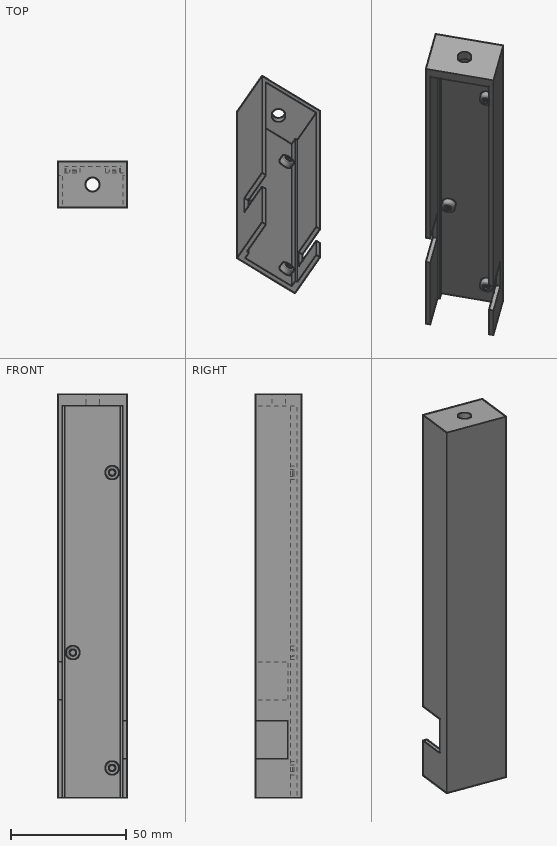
import cadquery as cq

WIDTH = 30.0
DEPTH = 20.0
HEIGHT = 175.0
WALL = 2.0
FLOOR = 2.0
CAP = 5.0
CAP_HOLE_DIAMETER = 6.0

RAIL_WIDTH = 1.0
RAIL_HEIGHT = 3.0

NOTCH_DEPTH = 14.0
NOTCH_HEIGHT = 16.5
LEFT_NOTCH_BOTTOM = 42.5
RIGHT_NOTCH_BOTTOM = 17.0

PIN_DIAMETER = 6.0
PIN_HEIGHT = 3.0
PIN_EDGE_RADIUS = 0.5
RECESS_DIAMETER = 3.0
RECESS_DEPTH = 1.0
RECESS_CORE_DIAMETER = 2.65
RECESS_FULL_DEPTH = 1.5
PIN_OFFSET = 8.5
PIN_PLACES = [(PIN_OFFSET, 141.0), (-PIN_OFFSET, 63.0), (PIN_OFFSET, 13.0)]

FRONT_Y = -DEPTH / 2
FLOOR_Y = DEPTH / 2 - FLOOR
RAIL_Y = FLOOR_Y - RAIL_HEIGHT


def block(x_min, x_max, y_min, y_max, z_min, z_max):
    """Box given by its limits along each axis."""
    size = (x_max - x_min, y_max - y_min, z_max - z_min)
    return cq.Workplane("XY").box(*size, centered=False).translate((x_min, y_min, z_min))


def make_housing():
    outer_x = WIDTH / 2
    wall_x = outer_x - WALL
    rail_x = wall_x - RAIL_WIDTH
    cavity_top = HEIGHT - CAP

    body = block(-outer_x, outer_x, FRONT_Y, DEPTH / 2, 0, HEIGHT)
    body = body.cut(block(-wall_x, wall_x, FRONT_Y, RAIL_Y, 0, cavity_top))
    body = body.cut(block(-rail_x, rail_x, RAIL_Y, FLOOR_Y, 0, cavity_top))

    notch_y = FRONT_Y + NOTCH_DEPTH
    left_top = LEFT_NOTCH_BOTTOM + NOTCH_HEIGHT
    right_top = RIGHT_NOTCH_BOTTOM + NOTCH_HEIGHT
    body = body.cut(block(-outer_x, -wall_x, FRONT_Y, notch_y, LEFT_NOTCH_BOTTOM, left_top))
    body = body.cut(block(wall_x, outer_x, FRONT_Y, notch_y, RIGHT_NOTCH_BOTTOM, right_top))

    cap_hole = cq.Workplane("XY", origin=(0, 0, cavity_top)).circle(CAP_HOLE_DIAMETER / 2).extrude(CAP)
    return body.cut(cap_hole)


def make_pin(x, z):
    pin = cq.Workplane("XZ", origin=(x, FLOOR_Y, z)).circle(PIN_DIAMETER / 2).extrude(PIN_HEIGHT)
    pin = pin.faces("<Y").edges().fillet(PIN_EDGE_RADIUS)
    free_end = pin.faces("<Y").workplane()
    return free_end.cboreHole(RECESS_CORE_DIAMETER, RECESS_DIAMETER, RECESS_DEPTH, RECESS_FULL_DEPTH)


housing = make_housing()
pins = [make_pin(x, z) for x, z in PIN_PLACES]
result = cq.Compound.makeCompound([housing.val(), *[pin.val() for pin in pins]])